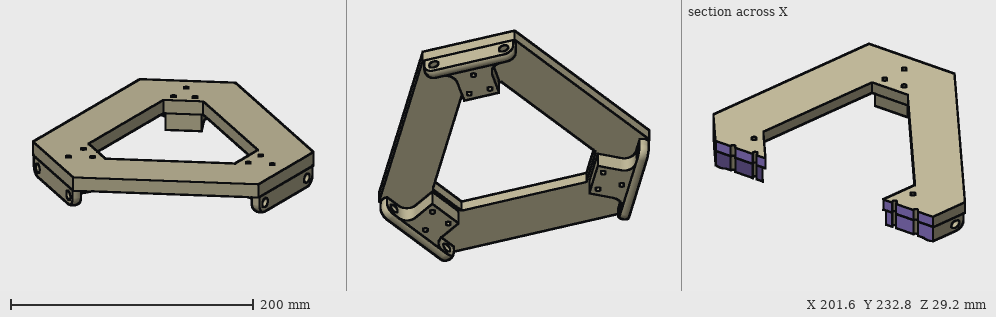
import cadquery as cq
import math

PLATE_SPAN = 232.8
CORNER_WIDTH = 79.2
PLATE_THICKNESS = 12.0
BAND_WIDTH = 40.0

SCREW_DIAMETER = 4.0
OUTER_SCREW_INSET = 14.0
INNER_SCREW_INSET = 32.0
SCREW_PAIR_SPACING = 18.0

BRACKET_HEIGHT = 16.0
FLANGE_THICKNESS = 8.0
RIM_BULGE = 1.2
BLOCK_LENGTH = 38.0
BLOCK_WIDTH = 30.0
WEB_FILLET = 10.0
MOUNT_HOLE_DIAMETER = 8.0
MOUNT_HOLE_SPACING = 60.0

CORNER_ANGLES = [0, 120, 240]
CORNER_DISTANCE = (PLATE_SPAN - CORNER_WIDTH / 2) / math.sqrt(3)
SIDE_DISTANCE = CORNER_DISTANCE / 2 + CORNER_WIDTH / 2 * math.sin(math.radians(60))
CORNER_RADIUS = BRACKET_HEIGHT / 2
FLANGE_INNER_X = CORNER_DISTANCE - FLANGE_THICKNESS
SCREW_POINTS = [
    (CORNER_DISTANCE - OUTER_SCREW_INSET, 0),
    (CORNER_DISTANCE - INNER_SCREW_INSET, SCREW_PAIR_SPACING / 2),
    (CORNER_DISTANCE - INNER_SCREW_INSET, -SCREW_PAIR_SPACING / 2),
]


def turn(shape, angle):
    """Turn a shape about the Z axis."""
    return shape.rotate((0, 0, 0), (0, 0, 1), angle)


def cut_triangle(corner_distance, side_distance):
    """Prism above Z = 0 over a triangle whose corners are cut off square."""
    half_corner = (side_distance - corner_distance / 2) / math.sin(math.radians(60))
    radius = math.hypot(corner_distance, half_corner)
    half_angle = math.degrees(math.atan2(half_corner, corner_distance))
    points = []
    for corner_angle in CORNER_ANGLES:
        for angle in (corner_angle - half_angle, corner_angle + half_angle):
            turn_angle = math.radians(angle)
            points.append((radius * math.cos(turn_angle), radius * math.sin(turn_angle)))
    return cq.Workplane("XY").polyline(points).close().extrude(PLATE_THICKNESS)


def screw_cutters():
    """Three vertical screw holes through plate and bracket at the +X corner."""
    return (
        cq.Workplane("XY", origin=(0, 0, -BRACKET_HEIGHT))
        .pushPoints(SCREW_POINTS)
        .circle(SCREW_DIAMETER / 2)
        .extrude(BRACKET_HEIGHT + PLATE_THICKNESS)
    )


def make_plate():
    """Ring-shaped plate with three screw holes at each corner."""
    outline = cut_triangle(CORNER_DISTANCE, SIDE_DISTANCE)
    opening = cut_triangle(CORNER_DISTANCE - BAND_WIDTH, SIDE_DISTANCE - BAND_WIDTH)
    plate = outline.cut(opening)
    for angle in CORNER_ANGLES:
        plate = plate.cut(turn(screw_cutters(), angle))
    return plate


def rim_section(workplane):
    """Flange section across its thickness, from the mounting hole axis out to the rounded rim."""
    return (
        workplane
        .lineTo(FLANGE_THICKNESS, 0)
        .lineTo(FLANGE_THICKNESS, -CORNER_RADIUS)
        .threePointArc((FLANGE_THICKNESS / 2, -CORNER_RADIUS - RIM_BULGE), (0, -CORNER_RADIUS))
        .close()
    )


def make_flange():
    """Upright flange with two rounded lower corners and a convex rim."""
    half_spacing = MOUNT_HOLE_SPACING / 2
    flange = (
        cq.Workplane("XY", origin=(CORNER_DISTANCE - FLANGE_THICKNESS / 2, 0, -CORNER_RADIUS))
        .rect(FLANGE_THICKNESS, MOUNT_HOLE_SPACING)
        .extrude(CORNER_RADIUS)
    )
    bottom_start = (FLANGE_INNER_X, half_spacing, -CORNER_RADIUS)
    bottom = rim_section(cq.Workplane("XZ", origin=bottom_start)).extrude(MOUNT_HOLE_SPACING)
    end_start = (FLANGE_INNER_X, -half_spacing, -CORNER_RADIUS)
    end = rim_section(cq.Workplane("XY", origin=end_start)).extrude(CORNER_RADIUS)
    corner = rim_section(cq.Workplane("XY", origin=end_start)).revolve(90, (0, 0), (1, 0))
    flange = flange.union(bottom)
    for piece in (end, corner):
        flange = flange.union(piece).union(piece.mirror("XZ"))
    return flange


def make_block():
    """Block behind the flange, flaring into it with a concave round on each side."""
    end_x = CORNER_DISTANCE - BLOCK_LENGTH
    half_width = BLOCK_WIDTH / 2
    flare_x = FLANGE_INNER_X - WEB_FILLET
    flare_y = half_width + WEB_FILLET
    arc_x = flare_x + WEB_FILLET * math.cos(math.radians(45))
    arc_y = flare_y - WEB_FILLET * math.sin(math.radians(45))
    return (
        cq.Workplane("XY", origin=(0, 0, -BRACKET_HEIGHT))
        .moveTo(end_x, -half_width)
        .lineTo(flare_x, -half_width)
        .threePointArc((arc_x, -arc_y), (FLANGE_INNER_X, -flare_y))
        .lineTo(CORNER_DISTANCE, -flare_y)
        .lineTo(CORNER_DISTANCE, flare_y)
        .lineTo(FLANGE_INNER_X, flare_y)
        .threePointArc((arc_x, arc_y), (flare_x, half_width))
        .lineTo(end_x, half_width)
        .close()
        .extrude(BRACKET_HEIGHT)
    )


def make_bracket():
    """Bracket under the +X corner of the plate."""
    mount_holes = (
        cq.Workplane("YZ", origin=(FLANGE_INNER_X, 0, -CORNER_RADIUS))
        .pushPoints([(-MOUNT_HOLE_SPACING / 2, 0), (MOUNT_HOLE_SPACING / 2, 0)])
        .circle(MOUNT_HOLE_DIAMETER / 2)
        .extrude(FLANGE_THICKNESS)
    )
    return make_flange().union(make_block()).cut(mount_holes).cut(screw_cutters())


plate = make_plate().solids()
bracket = make_bracket().solids()
brackets = [turn(bracket, angle) for angle in CORNER_ANGLES]

result = cq.Compound.makeCompound([plate.val(), *[copy.val() for copy in brackets]])